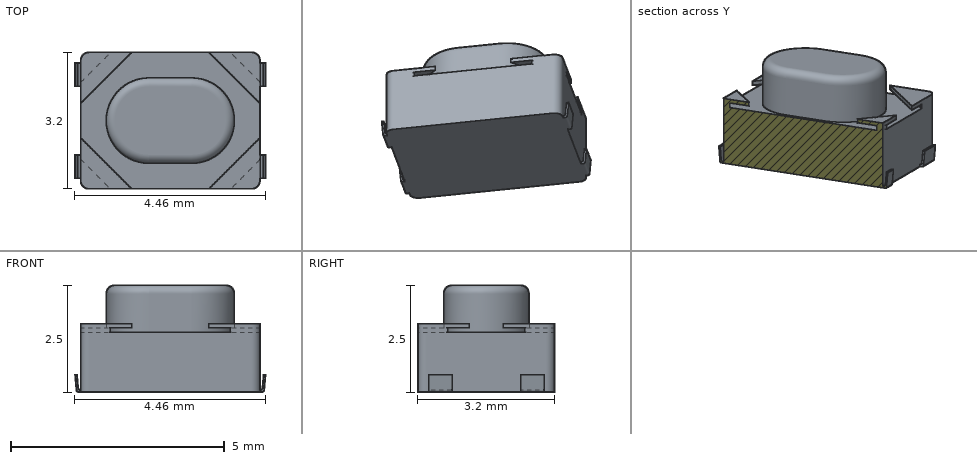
import cadquery as cq
import math

body_length = 4.2
body_width = 3.2
body_height = 1.6
body_corner_radius = 0.2

recess_depth = 0.2
tab_thickness = 0.1
tab_leg = 1.2
post_leg = 0.7

button_length = 3.0
button_width = 2.0
button_edge_radius = 0.2
overall_height = 2.5

overall_length = 4.46
lead_thickness = 0.05
lead_height = 0.4
lead_tilt = math.radians(5)
lead_inner_y = 0.8
lead_width = 0.55
lead_bend_radius = 0.05
lead_embed = 0.2

recess_floor = body_height - recess_depth


def octagon_cut(corner_leg, bottom, height):
    """Block as large as the body in plan, with 45 degree corners removed."""
    return (
        cq.Workplane("XY", origin=(0, 0, bottom))
        .rect(body_length, body_width)
        .extrude(height)
        .edges("|Z")
        .chamfer(corner_leg)
    )


def make_body():
    """Block with a recessed top, leaving a post and an overhanging tab at each corner."""
    block = (
        cq.Workplane("XY")
        .rect(body_length, body_width)
        .extrude(body_height)
        .edges("|Z")
        .fillet(body_corner_radius)
    )
    undercut = octagon_cut(post_leg, recess_floor, recess_depth - tab_thickness)
    opening = octagon_cut(tab_leg, body_height - tab_thickness, tab_thickness)
    return block.cut(undercut).cut(opening)


def make_button():
    """Plunger standing on the recess floor."""
    return (
        cq.Workplane("XY", origin=(0, 0, recess_floor))
        .slot2D(button_length, button_width)
        .extrude(overall_height - recess_floor)
        .faces(">Z")
        .edges()
        .fillet(button_edge_radius)
    )


def make_lead():
    """Lead on the +X, +Y quarter: a flat foot and an arm leaning outward."""
    root_x = body_length / 2 - lead_embed
    outer_top_x = overall_length / 2
    outer_foot_x = outer_top_x - lead_height * math.tan(lead_tilt)
    arm_thickness = lead_thickness / math.cos(lead_tilt)
    inner_top_x = outer_top_x - arm_thickness
    inner_foot_x = inner_top_x - (lead_height - lead_thickness) * math.tan(lead_tilt)
    profile = [
        (root_x, 0),
        (outer_foot_x, 0),
        (outer_top_x, lead_height),
        (inner_top_x, lead_height),
        (inner_foot_x, lead_thickness),
        (root_x, lead_thickness),
    ]
    strip = (
        cq.Workplane("XZ", origin=(0, lead_inner_y, 0))
        .polyline(profile)
        .close()
        .extrude(-lead_width)
    )
    lead_middle_y = lead_inner_y + lead_width / 2
    outer_bend = cq.selectors.NearestToPointSelector((outer_foot_x, lead_middle_y, 0))
    inner_bend = cq.selectors.NearestToPointSelector((inner_foot_x, lead_middle_y, lead_thickness))
    strip = strip.edges("|Y").edges(inner_bend).fillet(lead_bend_radius)
    return strip.edges("|Y").edges(outer_bend).fillet(lead_bend_radius)


result = make_body().union(make_button())

right_back_lead = make_lead()
right_front_lead = right_back_lead.mirror("XZ")
for lead in (right_back_lead, right_front_lead):
    result = result.union(lead).union(lead.mirror("YZ"))